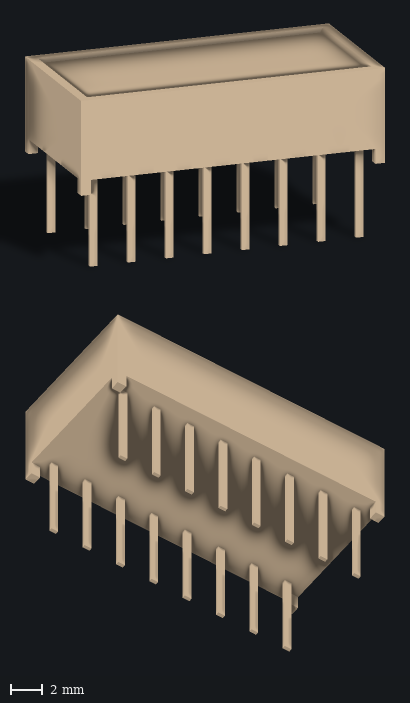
import cadquery as cq

body_width = 10.15
body_length = 20.32
total_height = 11.3
body_height = 5.25

foot_side = 0.65
foot_height = 0.98

rim_width = 0.63
recess_depth = 0.25
recess_wall_run = 0.26

pin_rows = 2
pins_per_row = 8
pin_pitch = 2.55
pitches_between_rows = 3
row_spacing = pitches_between_rows * pin_pitch
pin_thickness = 0.25
pin_width = 0.5
pin_length = total_height - body_height


def make_body():
    return cq.Workplane("XY").rect(body_width, body_length).extrude(-body_height)


def make_recess():
    opening_width = body_width - 2 * rim_width
    opening_length = body_length - 2 * rim_width
    floor_width = opening_width - 2 * recess_wall_run
    floor_length = opening_length - 2 * recess_wall_run
    return (
        cq.Workplane("XY")
        .rect(opening_width, opening_length)
        .workplane(offset=-recess_depth)
        .rect(floor_width, floor_length)
        .loft(ruled=True)
    )


def make_feet():
    return (
        cq.Workplane("XY", origin=(0, 0, -body_height))
        .rect(body_width - foot_side, body_length - foot_side, forConstruction=True)
        .vertices()
        .rect(foot_side, foot_side)
        .extrude(-foot_height)
    )


def make_pins():
    return (
        cq.Workplane("XY", origin=(0, 0, -body_height))
        .rarray(row_spacing, pin_pitch, pin_rows, pins_per_row)
        .rect(pin_thickness, pin_width)
        .extrude(-pin_length)
    )


result = make_body().cut(make_recess()).union(make_feet()).union(make_pins())